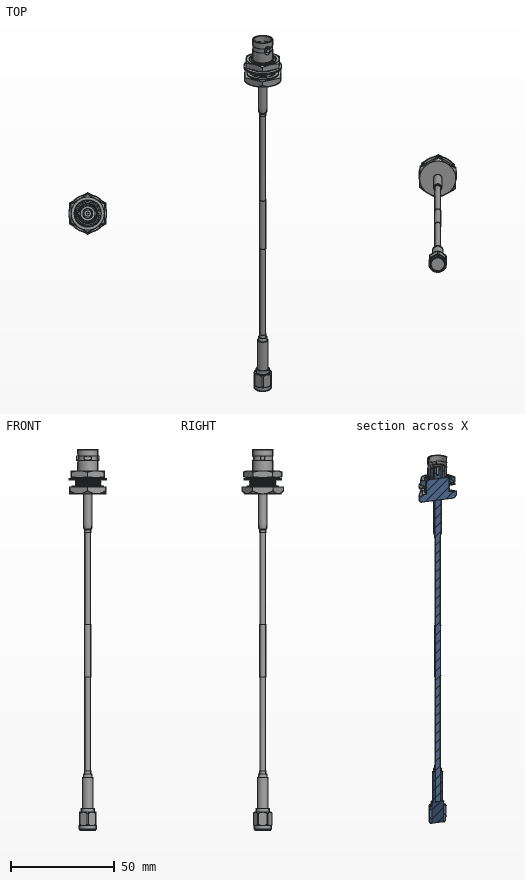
import math

import cadquery as cq


total_length = 184.02

bnc_top = total_length
barrel_dia = 9.7
barrel_bore_dia = 8.4
barrel_length = 10.25
barrel_bore_depth = barrel_length
groove_drop = 4.05
groove_width = 2.2
groove_depth = 0.12
side_groove_depth = 0.5
pin_dia = 2.2
pin_span = 11.0
countersink_dia = 4.4
countersink_depth = 0.6

shank_top = bnc_top - barrel_length
thread_dia = 12.7
thread_depth = 0.4
shank_top_dia = 11.1
thread_pitch = 25.4 / 28
shank_flat_x = -5.9

flange_height = 3.35
flange_bottom = bnc_top - 21.35
flange_top = flange_bottom + flange_height
flange_across_corners = 20.16
flange_across_flats = flange_across_corners * math.cos(math.pi / 6)
flange_chamfer_height = 1.5
face_ring_dia = 15.4
face_ring_height = 0.5

nut_top = shank_top
nut_height = 3.65
nut_across_flats = 16.0
nut_face_dia = 14.6
nut_face_height = 0.5
nut_top_chamfer_height = 0.6
nut_bottom_chamfer_height = 0.35
nut_countersink_dia = 13.1
washer_dia = 18.34
washer_thickness = 0.7
washer_top = nut_top - nut_height

insulator_dia = 7.2
insulator_bore_dia = 4.8
insulator_drop = 4.0
contact_dia = 3.6
contact_hole_dia = 1.3
contact_hole_depth = 4.0
contact_drop = 4.6
contact_floor = bnc_top - barrel_bore_depth

cable_dia = 2.9
marker_dia = 3.2
marker_length = 25.4
marker_bottom = 74.0

ferrule_dia = 4.2
ferrule_taper_dia = 4.1
ferrule_end_dia = 3.8
ferrule_neck_dia = 3.15
ferrule_neck_step_dia = 3.3
ferrule_taper_start = 147.9
ferrule_taper_mid = 146.8
ferrule_neck_top = 145.75
ferrule_neck_step = 145.25
ferrule_bottom = 144.1

sma_tail_top = 28.7
sma_tail_dia = 3.15
sma_tail_cone_top = 28.1
sma_tail_cone_dia = 3.4
sma_neck_top = 27.2
sma_neck_top_dia = 4.0
sma_neck_taper_end = 25.95
sma_neck_dia = 4.3
sma_sleeve_top = 25.5
sma_sleeve_dia = 5.3
sma_collar_top = 10.5
sma_collar_dia = 6.4

coupling_top = 8.75
coupling_hex_bottom = 2.2
coupling_across_flats = 8.2
coupling_corner_dia = 9.1
coupling_chamfer_height = 0.6
coupling_skirt_dia = 8.3
coupling_skirt_chamfer = 0.5


def cylinder(diameter, bottom, top):
    return cq.Workplane("XY").workplane(offset=bottom).circle(diameter / 2).extrude(top - bottom)


def revolved(profile):
    """Turn a closed (radius, z) outline about the Z axis."""
    return cq.Workplane("XZ").polyline(profile).close().revolve(360, (0, 0, 0), (0, 1, 0))


def hexagon(across_flats, bottom, top):
    """Hexagonal prism with flats on +X and -X and corners on +Y and -Y."""
    corner_dia = across_flats / math.cos(math.pi / 6)
    prism = cq.Workplane("XY").workplane(offset=bottom).polygon(6, corner_dia).extrude(top - bottom)
    return prism.rotate((0, 0, 0), (0, 0, 1), 30)


def corner_envelope(face_dia, corner_dia, bottom, top, bottom_chamfer, top_chamfer):
    """Turned blank whose conical ends chamfer the corners of a hexagon."""
    face = face_dia / 2
    corner = corner_dia / 2
    profile = [(0, bottom)]
    if bottom_chamfer:
        profile += [(face, bottom), (corner, bottom + bottom_chamfer)]
    else:
        profile += [(corner, bottom)]
    if top_chamfer:
        profile += [(corner, top - top_chamfer), (face, top)]
    else:
        profile += [(corner, top)]
    return revolved(profile + [(0, top)])


def make_barrel():
    barrel = cylinder(barrel_dia, shank_top, bnc_top)
    radius = barrel_dia / 2
    groove_z = bnc_top - groove_drop
    groove_bottom = groove_z - groove_width / 2
    groove_top = groove_z + groove_width / 2
    floor_dia = barrel_dia - 2 * groove_depth
    barrel = barrel.cut(
        cylinder(barrel_dia, groove_bottom, groove_top).cut(cylinder(floor_dia, groove_bottom, groove_top))
    )
    groove_radius = (side_groove_depth**2 + (groove_width / 2) ** 2) / (2 * side_groove_depth)
    for side in (-1, 1):
        groove_start = cq.Vector(-radius, side * (radius - side_groove_depth + groove_radius), groove_z)
        side_groove = cq.Solid.makeCylinder(groove_radius, barrel_dia, groove_start, cq.Vector(1, 0, 0))
        barrel = barrel.cut(cq.Workplane(side_groove))
        outward = cq.Vector(side, 0, 0)
        cone_base = cq.Vector(side * (radius - countersink_depth), 0, groove_z)
        countersink = cq.Solid.makeCone(
            pin_dia / 2, countersink_dia / 2, countersink_depth, cone_base, outward
        )
        pin_base = cq.Vector(side * barrel_bore_dia / 2, 0, groove_z)
        pin_length = pin_span / 2 - abs(pin_base.x)
        pin = cq.Solid.makeCylinder(pin_dia / 2, pin_length, pin_base, outward)
        barrel = barrel.cut(cq.Workplane(countersink)).union(cq.Workplane(pin))
    return barrel


def make_shank():
    """Threaded shank, with the thread as rings of V grooves one pitch apart."""
    crest = thread_dia / 2
    root = crest - thread_depth
    turns = math.floor((shank_top - flange_top) / thread_pitch)
    profile = [(0, flange_top), (crest, flange_top)]
    for turn in range(turns):
        start = flange_top + turn * thread_pitch
        profile += [(root, start + thread_pitch / 2), (crest, start + thread_pitch)]
    profile += [(shank_top_dia / 2, shank_top), (0, shank_top)]
    shank = revolved(profile)
    flat_cut = cq.Workplane("XY").box(
        thread_dia, 2 * thread_dia, shank_top - flange_top, centered=(True, True, False)
    )
    return shank.cut(flat_cut.translate((shank_flat_x - thread_dia / 2, 0, flange_top)))


def make_flange():
    flange = hexagon(flange_across_flats, flange_bottom, flange_top).intersect(
        corner_envelope(
            flange_across_flats,
            flange_across_corners,
            flange_bottom,
            flange_top,
            flange_chamfer_height,
            0,
        )
    )
    return flange.union(cylinder(face_ring_dia, flange_top, flange_top + face_ring_height))


def make_bnc_body():
    body = make_barrel().union(make_shank()).union(make_flange())
    return body.cut(cylinder(barrel_bore_dia, bnc_top - barrel_bore_depth, bnc_top))


def make_panel_nut():
    bottom = nut_top - nut_height
    hex_bottom = bottom + nut_face_height
    corner_dia = nut_across_flats / math.cos(math.pi / 6)
    nut = hexagon(nut_across_flats, hex_bottom, nut_top).intersect(
        corner_envelope(
            nut_across_flats,
            corner_dia,
            hex_bottom,
            nut_top,
            nut_bottom_chamfer_height,
            nut_top_chamfer_height,
        )
    )
    nut = nut.union(cylinder(nut_face_dia, bottom, hex_bottom))
    nut = nut.cut(cylinder(thread_dia, bottom, nut_top))
    countersink_height = (nut_countersink_dia - thread_dia) / 2
    countersink = revolved([
        (0, nut_top),
        (nut_countersink_dia / 2, nut_top),
        (thread_dia / 2, nut_top - countersink_height),
        (0, nut_top - countersink_height),
    ])
    return nut.cut(countersink)


def make_lock_washer():
    bottom = washer_top - washer_thickness
    return cylinder(washer_dia, bottom, washer_top).cut(cylinder(thread_dia, bottom, washer_top))


def make_insulator():
    top = bnc_top - insulator_drop
    return cylinder(insulator_dia, contact_floor, top).cut(
        cylinder(insulator_bore_dia, contact_floor, top)
    )


def make_contact():
    top = bnc_top - contact_drop
    return cylinder(contact_dia, contact_floor, top).cut(
        cylinder(contact_hole_dia, top - contact_hole_depth, top)
    )


def make_ferrule():
    bore = cable_dia / 2
    return revolved([
        (bore, flange_bottom),
        (ferrule_dia / 2, flange_bottom),
        (ferrule_dia / 2, ferrule_taper_start),
        (ferrule_taper_dia / 2, ferrule_taper_mid),
        (ferrule_end_dia / 2, ferrule_neck_top),
        (ferrule_neck_step_dia / 2, ferrule_neck_top),
        (ferrule_neck_step_dia / 2, ferrule_neck_step),
        (ferrule_neck_dia / 2, ferrule_neck_step),
        (ferrule_neck_dia / 2, ferrule_bottom),
        (bore, ferrule_bottom),
    ])


def make_cable():
    return cylinder(cable_dia, sma_collar_top, flange_bottom)


def make_marker():
    top = marker_bottom + marker_length
    return cylinder(marker_dia, marker_bottom, top).cut(cylinder(cable_dia, marker_bottom, top))


def make_sma_body():
    body = revolved([
        (0, 0),
        (sma_collar_dia / 2, 0),
        (sma_collar_dia / 2, sma_collar_top),
        (sma_sleeve_dia / 2, sma_collar_top),
        (sma_sleeve_dia / 2, sma_sleeve_top),
        (sma_neck_dia / 2, sma_sleeve_top),
        (sma_neck_dia / 2, sma_neck_taper_end),
        (sma_neck_top_dia / 2, sma_neck_top),
        (sma_tail_cone_dia / 2, sma_neck_top),
        (sma_tail_dia / 2, sma_tail_cone_top),
        (sma_tail_dia / 2, sma_tail_top),
        (0, sma_tail_top),
    ])
    return body.cut(cylinder(cable_dia, sma_collar_top, sma_tail_top))


def make_coupling_nut():
    nut = hexagon(coupling_across_flats, coupling_hex_bottom, coupling_top).intersect(
        corner_envelope(
            coupling_across_flats,
            coupling_corner_dia,
            coupling_hex_bottom,
            coupling_top,
            coupling_chamfer_height,
            coupling_chamfer_height,
        )
    )
    skirt = cylinder(coupling_skirt_dia, 0, coupling_hex_bottom).faces("<Z").chamfer(coupling_skirt_chamfer)
    return nut.union(skirt).cut(cylinder(sma_collar_dia, 0, coupling_top))


bodies = [
    make_bnc_body(),
    make_panel_nut(),
    make_lock_washer(),
    make_insulator(),
    make_contact(),
    make_ferrule(),
    make_cable(),
    make_marker(),
    make_sma_body(),
    make_coupling_nut(),
]
result = cq.Compound.makeCompound([body.val() for body in bodies])